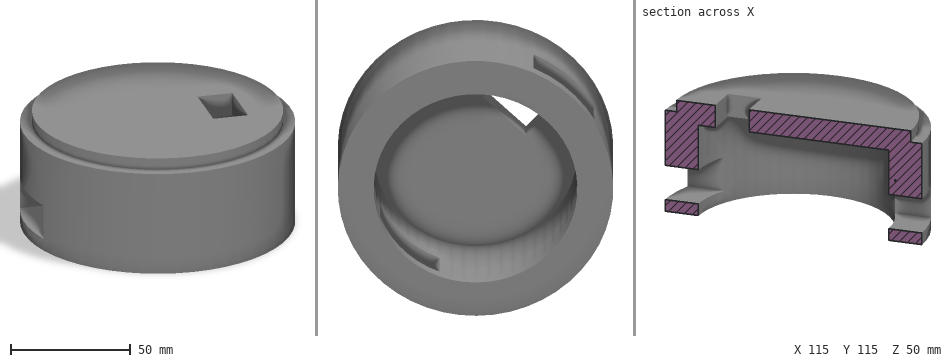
import cadquery as cq

body_diameter = 115.0
total_height = 50.0
step_height = 5.0
step_inset = 5.0
step_diameter = body_diameter - 2 * step_inset
body_height = total_height - step_height

cavity_diameter = 85.0
roof_thickness = 10.0
cavity_depth = total_height - roof_thickness

slot_width = 35.0
slot_height = 15.0
slot_center_x = 1.0
slot_bottom_z = 5.35

window_length = 25.0
window_width = 15.0
window_center_x = 2.5
window_center_y = 27.5


def stepped_drum():
    drum = cq.Workplane("XY").circle(body_diameter / 2).extrude(body_height)
    return drum.faces(">Z").workplane().circle(step_diameter / 2).extrude(step_height)


def cavity():
    return cq.Workplane("XY").circle(cavity_diameter / 2).extrude(cavity_depth)


def cross_slot():
    slot = cq.Workplane("XY").box(slot_width, body_diameter, slot_height, centered=(True, True, False))
    return slot.translate((slot_center_x, 0, slot_bottom_z))


def roof_window():
    window = cq.Workplane("XY").box(window_length, window_width, roof_thickness, centered=(True, True, False))
    return window.translate((window_center_x, window_center_y, cavity_depth))


result = stepped_drum().cut(cavity()).cut(cross_slot()).cut(roof_window())